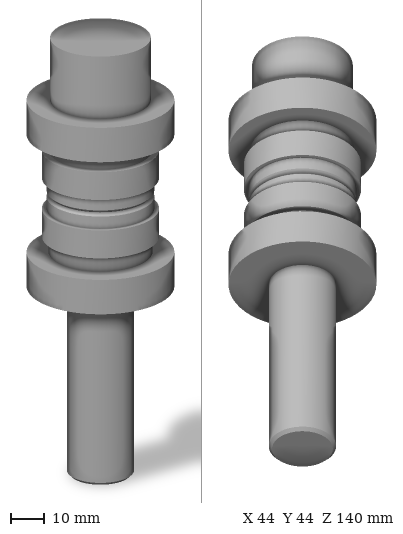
import cadquery as cq

total_length = 140.0
shank_length = 60.0
head_length = 20.0
bushing_length = (total_length - shank_length - head_length) / 2
meeting_height = shank_length + bushing_length

pin_diameter = 20.0
head_diameter = 30.0
tip_chamfer = 1.0

flange_diameter = 44.0
flange_thickness = 11.0
neck_diameter = 31.0
neck_length = 5.0
band_diameter = 34.9
band_length = 9.0
nose_diameter = 32.0
nose_length = bushing_length - flange_thickness - neck_length - band_length
nose_chamfer = 1.0


def cylinder(diameter, length, base_height):
    return cq.Workplane("XY").workplane(offset=base_height).circle(diameter / 2).extrude(length)


def make_pin():
    """Headed pin whose head rests on the upper flange."""
    shaft = cylinder(pin_diameter, total_length - head_length, 0).faces("<Z").chamfer(tip_chamfer)
    head = cylinder(head_diameter, head_length, total_length - head_length)
    return shaft.union(head)


def make_bushing():
    """Stepped bushing with its flange on Z = 0 and its nose pointing up."""
    neck_base = flange_thickness
    band_base = neck_base + neck_length
    nose_base = band_base + band_length
    flange = cylinder(flange_diameter, flange_thickness, 0)
    neck = cylinder(neck_diameter, neck_length, neck_base)
    band = cylinder(band_diameter, band_length, band_base)
    nose = cylinder(nose_diameter, nose_length, nose_base).faces(">Z").chamfer(nose_chamfer)
    bore = cylinder(pin_diameter, bushing_length, 0)
    return flange.union(neck).union(band).union(nose).cut(bore)


pin = make_pin()

bushings = []
for turn in (0, 180):
    nose_at_origin = make_bushing().translate((0, 0, -bushing_length))
    turned = nose_at_origin.rotate((0, 0, 0), (1, 0, 0), turn)
    bushings.append(turned.translate((0, 0, meeting_height)))

result = cq.Compound.makeCompound([pin.val(), *[bushing.val() for bushing in bushings]])